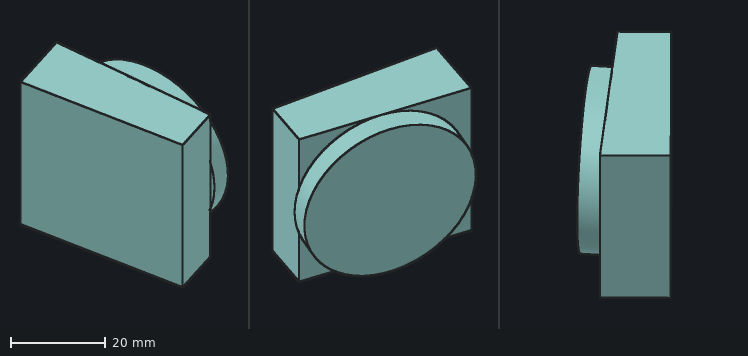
import cadquery as cq
import math

overall_length = 41.5
block_side = 40.0
tall_side_depth = 15.0
tilt_degrees = 5.0
disc_thickness = 5.0

tilt = math.radians(tilt_degrees)
disc_radius = block_side / 2
short_side_depth = tall_side_depth - block_side * math.tan(tilt)

disc_center_x = overall_length - disc_radius * math.cos(tilt) - disc_thickness * math.sin(tilt)
disc_center_y = tall_side_depth - disc_center_x * math.tan(tilt)
disc_center_z = block_side / 2


def make_wedge_block():
    """Square block whose +Y face slopes down toward +X."""
    profile = [
        (0, 0),
        (block_side, 0),
        (block_side, short_side_depth),
        (0, tall_side_depth),
    ]
    return cq.Workplane("XY").polyline(profile).close().extrude(block_side)


def make_tilted_disc():
    """Round disc seated on the sloped face and square to it."""
    seat = cq.Plane(
        origin=(disc_center_x, disc_center_y, disc_center_z),
        xDir=(0, 0, 1),
        normal=(math.sin(tilt), math.cos(tilt), 0),
    )
    return cq.Workplane(seat).circle(disc_radius).extrude(disc_thickness)


result = make_wedge_block().union(make_tilted_disc())